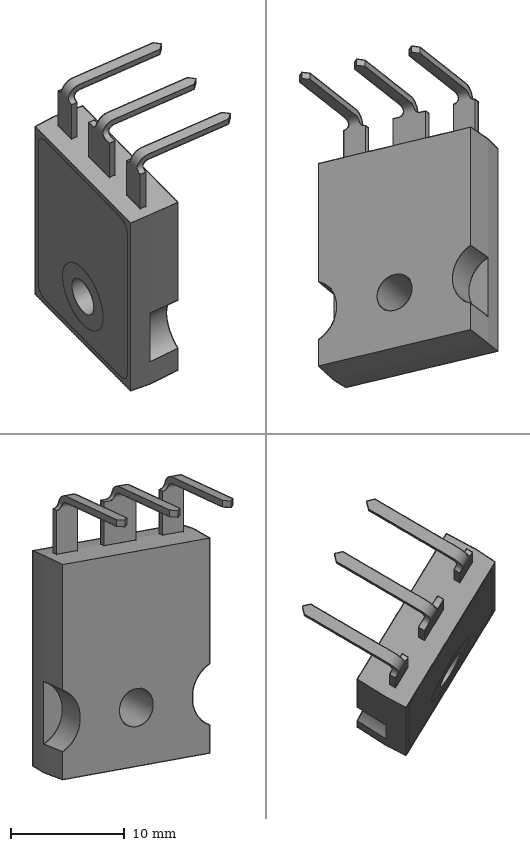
import cadquery as cq


housing_width = 15.5
housing_height = 20.0
front_depth = 2.0
back_depth = 3.0
draft_inset = 0.1
hole_height = 5.5
hole_diameter = 3.5
notch_half_height = 2.87
notch_depth = 1.93

pad_margin = 0.6
pad_width = housing_width - 2 * pad_margin
pad_height = housing_height - 2 * pad_margin
pad_thickness = 1.0
pad_corner_radius = 1.15
pad_hole_diameter = 6.53

lead_pitch = 5.5
lead_thickness = 0.6
middle_lead_width = 3.3
lead_tip_width = 1.07
lead_top = 25.4
lead_end = 9.9
lead_seat_depth = 1.02
shoulder_drop = 1.4
shoulder_fillet = 0.55
outer_lead_width = lead_tip_width + 2 * shoulder_fillet
bend_inner_radius = 0.65
bend_outer_radius = bend_inner_radius + lead_thickness


def make_drafted_half(depth):
    """Half of the housing, from the parting plane to Y = depth, narrowing as it goes."""
    face_width = housing_width - 2 * draft_inset
    face_height = housing_height - 2 * draft_inset
    return (
        cq.Workplane("XZ", origin=(0, 0, housing_height / 2))
        .rect(housing_width, housing_height)
        .workplane(offset=-depth)
        .rect(face_width, face_height)
        .loft(ruled=True)
    )


def make_side_notches():
    """Round cutters that scallop both sides of the back half."""
    radius = (notch_half_height**2 + notch_depth**2) / (2 * notch_depth)
    center_x = housing_width / 2 - notch_depth + radius
    return (
        cq.Workplane("XZ", origin=(0, 0, hole_height))
        .pushPoints([(-center_x, 0), (center_x, 0)])
        .circle(radius)
        .extrude(-back_depth)
    )


def make_pad():
    """Rounded metal plate with a clearance hole around the screw hole."""
    plate = (
        cq.Workplane("XZ", origin=(0, -front_depth, housing_height / 2))
        .rect(pad_width, pad_height)
        .extrude(-pad_thickness)
        .edges("|Y")
        .fillet(pad_corner_radius)
    )
    clearance = (
        cq.Workplane("XZ", origin=(0, -front_depth, hole_height))
        .circle(pad_hole_diameter / 2)
        .extrude(-pad_thickness)
    )
    return plate.cut(clearance)


def make_lead(center_x, width):
    """Flat lead that rises from the housing, narrows at a shoulder and bends back to a point."""
    half_thickness = lead_thickness / 2
    half_width = width / 2
    half_tip = lead_tip_width / 2
    bottom = housing_height - lead_seat_depth
    shoulder = lead_top - shoulder_drop
    bend_y = bend_outer_radius - half_thickness
    bend_z = lead_top - bend_outer_radius

    strip = (
        cq.Workplane("YZ")
        .moveTo(-half_thickness, bottom)
        .lineTo(-half_thickness, bend_z)
        .radiusArc((bend_y, lead_top), bend_outer_radius)
        .lineTo(lead_end, lead_top)
        .lineTo(lead_end, lead_top - lead_thickness)
        .lineTo(bend_y, lead_top - lead_thickness)
        .radiusArc((half_thickness, bend_z), -bend_inner_radius)
        .lineTo(half_thickness, bottom)
        .close()
        .extrude(half_width, both=True)
    )

    blade = (
        cq.Workplane("XZ")
        .moveTo(-half_width, bottom)
        .lineTo(half_width, bottom)
        .lineTo(half_width, shoulder)
        .lineTo(-half_width, shoulder)
        .close()
        .extrude(lead_end, both=True)
    )
    flare_half_width = half_tip + shoulder_fillet
    flare_top = shoulder + shoulder_fillet
    neck = (
        cq.Workplane("XZ")
        .moveTo(-flare_half_width, shoulder)
        .radiusArc((-half_tip, flare_top), -shoulder_fillet)
        .lineTo(-half_tip, lead_top)
        .lineTo(half_tip, lead_top)
        .lineTo(half_tip, flare_top)
        .radiusArc((flare_half_width, shoulder), -shoulder_fillet)
        .close()
        .extrude(lead_end, both=True)
    )
    front_envelope = blade.union(neck)

    plan_envelope = (
        cq.Workplane("XY", origin=(0, 0, bottom))
        .moveTo(-half_width, -half_thickness)
        .lineTo(-half_width, lead_end - half_width)
        .lineTo(0, lead_end)
        .lineTo(half_width, lead_end - half_width)
        .lineTo(half_width, -half_thickness)
        .close()
        .extrude(lead_top - bottom)
    )
    lead = strip.intersect(front_envelope).intersect(plan_envelope)
    return lead.translate((center_x, 0, 0))


def make_housing(inserts):
    """Moulded body with its screw hole, side notches and a matching recess for every insert."""
    screw_hole = (
        cq.Workplane("XZ", origin=(0, 0, hole_height))
        .circle(hole_diameter / 2)
        .extrude(front_depth + back_depth, both=True)
    )
    body = make_drafted_half(-front_depth).union(make_drafted_half(back_depth))
    body = body.cut(make_side_notches()).cut(screw_hole)
    for insert in inserts:
        body = body.cut(insert)
    return body


pad = make_pad()
leads = []
for position, width in ((-1, outer_lead_width), (0, middle_lead_width), (1, outer_lead_width)):
    leads.append(make_lead(position * lead_pitch, width))
housing = make_housing([pad, *leads])

result = cq.Compound.makeCompound([housing.val(), pad.val(), *[lead.val() for lead in leads]])